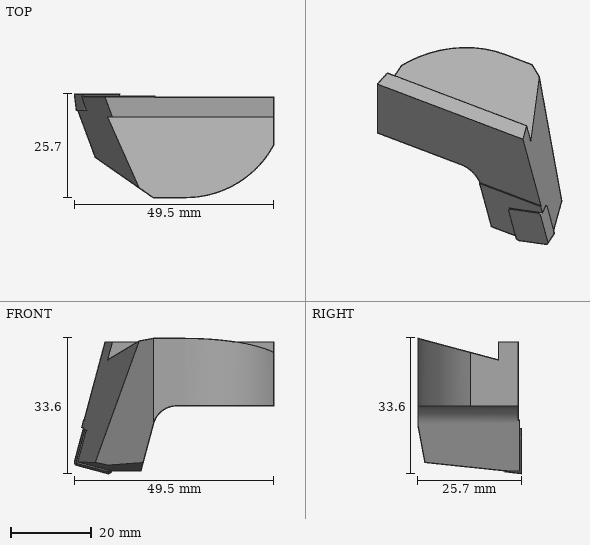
import cadquery as cq
import math


insert_side = 9.5
insert_thickness = 4.0
nose_radius = 0.8
insert_clearance = 7.0
lean_angle = 15.0
lean_slope = math.tan(math.radians(lean_angle))

right_end_x = 49.5
back_y = -0.75
front_y = -25.7
front_flat_start_x = 19.6
front_arc_start_x = 27.5
front_arc_radius = 25.0
shank_bottom_z = 16.85
rail_top_z = 32.7
rail_front_y = -5.7
crown_z = 33.6
throat_radius = 5.95

head_bottom_z = 0.7
head_bottom_right_x = 16.55
pad_back_y = -0.45
pad_top_z = 13.3
flank_top_x = 7.6
flank_relief_angle = 20.5
front_corner_angle = 34.8
bottom_relief_angle = 6.0
nose_relief_slope = 0.09
nose_end_x = 9.15

margin = 9.9
cutter_size = 148.5


def remove_beyond(body, point, outward):
    """Cut away everything beyond the plane through point facing outward."""
    plane = cq.Plane(origin=point, normal=outward)
    return body.cut(cq.Workplane(plane).rect(cutter_size, cutter_size).extrude(cutter_size))


def insert_plane():
    """Plane of the insert's top face, centred on it, with its normal into the holder."""
    lean = math.radians(lean_angle)
    half = insert_side / 2 - nose_radius
    centre_offset = nose_radius + half * (math.cos(lean) + math.sin(lean))
    return cq.Plane(
        origin=(centre_offset, 0, centre_offset),
        xDir=(math.cos(lean), 0, -math.sin(lean)),
        normal=(0, -1, 0),
    )


def make_insert():
    outline = cq.Sketch().rect(insert_side, insert_side).vertices().fillet(nose_radius)
    return (
        cq.Workplane(insert_plane())
        .placeSketch(outline)
        .extrude(insert_thickness, taper=insert_clearance)
    )


def make_pocket():
    """Sharp-cornered insert seat, open to the left and below."""
    size = insert_side + margin
    return (
        cq.Workplane(insert_plane())
        .center(-margin / 2, -margin / 2)
        .rect(size, size)
        .extrude(insert_thickness, taper=insert_clearance)
    )


def make_plan_blank():
    """Plan outline with the round front and the vertical corner face."""
    arc_centre_y = front_y + front_arc_radius

    def arc_y(x):
        return arc_centre_y - math.sqrt(front_arc_radius**2 - (x - front_arc_start_x) ** 2)

    arc_middle_x = (front_arc_start_x + right_end_x) / 2
    left_x = -margin
    corner_rise = (front_flat_start_x - left_x) * math.tan(math.radians(front_corner_angle))
    return (
        cq.Workplane("XY")
        .moveTo(left_x, pad_back_y)
        .lineTo(left_x, front_y + corner_rise)
        .lineTo(front_flat_start_x, front_y)
        .lineTo(front_arc_start_x, front_y)
        .threePointArc((arc_middle_x, arc_y(arc_middle_x)), (right_end_x, arc_y(right_end_x)))
        .lineTo(right_end_x, pad_back_y)
        .close()
        .extrude(crown_z)
    )


def cut_throat(body):
    """Remove the space under the shank, right of the leaning head."""
    below = head_bottom_z - margin
    throat_corner_x = head_bottom_right_x + (shank_bottom_z - head_bottom_z) * lean_slope
    throat = (
        cq.Workplane("XZ")
        .moveTo(head_bottom_right_x - margin * lean_slope, below)
        .lineTo(throat_corner_x, shank_bottom_z)
        .lineTo(right_end_x + margin, shank_bottom_z)
        .lineTo(right_end_x + margin, below)
        .close()
        .extrude(cutter_size / 2, both=True)
        .edges(cq.selectors.NearestToPointSelector((throat_corner_x, 0, shank_bottom_z)))
        .fillet(throat_radius)
    )
    return body.cut(throat)


def cut_top(body):
    """Leave a flat rail along the back and a sloping top in front of it."""
    rail_foot_z = crown_z - (rail_front_y - front_y) * lean_slope
    above = crown_z + margin
    top = (
        cq.Workplane("YZ")
        .moveTo(front_y, crown_z)
        .lineTo(rail_front_y, rail_foot_z)
        .lineTo(rail_front_y, rail_top_z)
        .lineTo(margin, rail_top_z)
        .lineTo(margin, above)
        .lineTo(front_y, above)
        .close()
        .extrude(cutter_size, both=True)
    )
    return body.cut(top)


def cut_back(body):
    """Set the back face in above the pad and right of the head."""
    step = (
        cq.Workplane("XY")
        .box(cutter_size, margin, cutter_size, centered=(True, False, False))
        .translate((0, back_y, pad_top_z))
    )
    return body.cut(step)


def cut_head_faces(body):
    flank_slope = math.tan(math.radians(flank_relief_angle))
    body = remove_beyond(body, (flank_top_x, back_y, rail_top_z), (-1, -flank_slope, lean_slope))
    bottom_point = (nose_end_x, -insert_thickness, head_bottom_z)
    body = remove_beyond(body, bottom_point, (0, 0, -1))
    relief_slope = math.tan(math.radians(bottom_relief_angle))
    body = remove_beyond(body, bottom_point, (0, -relief_slope, -1))
    return remove_beyond(body, bottom_point, (-lean_slope, -nose_relief_slope, -1))


def make_holder():
    body = cut_throat(make_plan_blank())
    body = cut_top(body)
    body = cut_back(body)
    body = cut_head_faces(body)
    return body.cut(make_pocket())


holder = make_holder()
insert = make_insert()

result = cq.Compound.makeCompound([*holder.solids().vals(), *insert.solids().vals()])